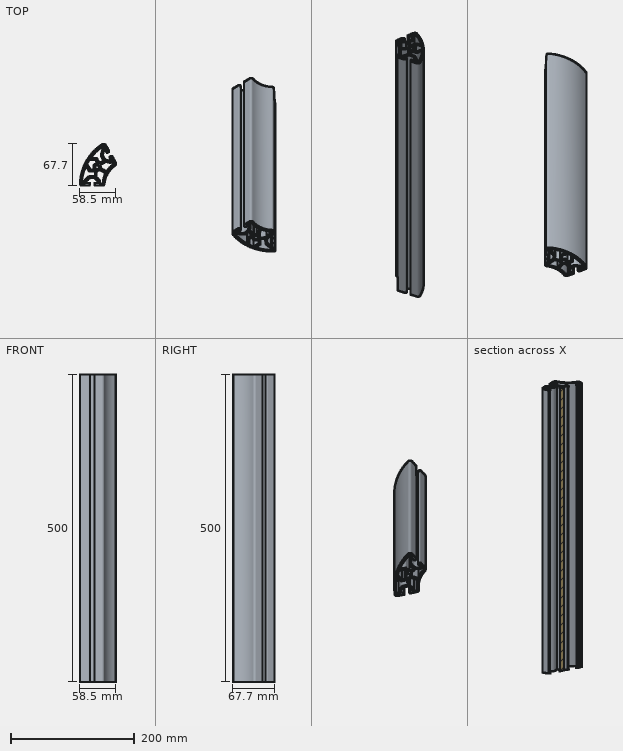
import cadquery as cq
import math

LENGTH = 500.0
INNER_RADIUS = 40.0
OUTER_RADIUS = 80.0
SECTOR_ANGLE = 60.0
CORNER_RADIUS = 4.0
WALL = 3.0
FLANGE = 2.4

SLOT_RADIUS = (INNER_RADIUS + OUTER_RADIUS) / 2
SLOT_OPENING = 7.8
SLOT_LIP = 4.5
SLOT_MOUTH_RADIUS = 1.7
SLOT_DEPTH = 12.5
SLOT_WIDTH = 20.0
SHOULDER_ANGLE = 45.0
SLOT_FLOOR_WIDTH = 8.0
SLOT_FLOOR_RADIUS = 4.2
SLOT_WALL = 2.9

BORE_DIAMETER = 6.7
CORE_DIAMETER = 12.0
WEB = 3.0
SLOT_WEB_OFFSET = 5.9
CHAMBER_WEB_HEIGHT = 24.7
CHAMBER_WEB_BEND = -64.0
CHAMBER_WEB_TURN = 60.0

BISECTOR_ANGLE = 180.0 - SECTOR_ANGLE / 2


def polar(radius, angle):
    """Point at a distance from the ring centre, angle in degrees from +X."""
    a = math.radians(angle)
    return (radius * math.cos(a), radius * math.sin(a))


CORE_CENTER = polar(SLOT_RADIUS, BISECTOR_ANGLE)


def mirrored(shape):
    """The shape's mirror image across the plane through Z and the sector bisector."""
    to_axis = shape.rotate((0, 0, 0), (0, 0, 1), -BISECTOR_ANGLE)
    return to_axis.mirror("XZ").rotate((0, 0, 0), (0, 0, 1), BISECTOR_ANGLE)


def both_halves(shape):
    return shape.union(mirrored(shape))


def ring_sector(inner_radius, outer_radius, inset, corner_radius):
    """Ring sector whose straight faces are moved inward by inset."""
    def edge_angle(radius):
        return math.degrees(math.asin(inset / radius))

    inner_shift = edge_angle(inner_radius)
    outer_shift = edge_angle(outer_radius)
    far_angle = 180.0 - SECTOR_ANGLE
    return (
        cq.Workplane("XY")
        .moveTo(*polar(outer_radius, 180.0 - outer_shift))
        .threePointArc(polar(outer_radius, BISECTOR_ANGLE), polar(outer_radius, far_angle + outer_shift))
        .lineTo(*polar(inner_radius, far_angle + inner_shift))
        .threePointArc(polar(inner_radius, BISECTOR_ANGLE), polar(inner_radius, 180.0 - inner_shift))
        .close()
        .extrude(LENGTH)
        .edges("|Z")
        .fillet(corner_radius)
    )


def web_strip(start, end, thickness):
    """Straight web between two points of the cross-section."""
    length = math.dist(start, end)
    angle = math.degrees(math.atan2(end[1] - start[1], end[0] - start[0]))
    return (
        cq.Workplane("XY")
        .rect(length, thickness)
        .extrude(LENGTH)
        .rotate((0, 0, 0), (0, 0, 1), angle)
        .translate(((start[0] + end[0]) / 2, (start[1] + end[1]) / 2, 0))
    )


def cylinder(center, diameter):
    return cq.Workplane("XY").center(*center).circle(diameter / 2).extrude(LENGTH)


def slot_room(bottom, margin=0.0):
    """Wide part of the T-slot from the given height to its floor, grown sideways and upward by margin."""
    half_width = SLOT_WIDTH / 2 + margin
    top = SLOT_DEPTH + margin
    half_floor = SLOT_FLOOR_WIDTH / 2 + margin * math.tan(math.radians(SHOULDER_ANGLE / 2))
    shoulder_drop = (half_width - half_floor) * math.tan(math.radians(SHOULDER_ANGLE))
    side_top = top - shoulder_drop
    outline = [
        (-half_width, bottom),
        (half_width, bottom),
        (half_width, side_top),
        (half_floor, top),
        (-half_floor, top),
        (-half_width, side_top),
    ]
    room = cq.Workplane("XY").polyline(outline).close().extrude(LENGTH)
    floor_corners = room.faces(">Y").edges("|Z")
    return floor_corners.fillet(SLOT_FLOOR_RADIUS + margin).translate((-SLOT_RADIUS, 0, 0))


def slot_casing():
    """Solid block around the T-slot, including its walls."""
    return slot_room(0, SLOT_WALL)


def slot_cut():
    """T-slot with its opening flaring into the straight face through rounded lips."""
    half_opening = SLOT_OPENING / 2
    half_mouth = half_opening + SLOT_MOUTH_RADIUS
    bend = SLOT_MOUTH_RADIUS * (1 - math.sqrt(0.5))
    opening = (
        cq.Workplane("XY")
        .center(-SLOT_RADIUS, 0)
        .moveTo(-half_mouth, 0)
        .threePointArc((-half_opening - bend, bend), (-half_opening, SLOT_MOUTH_RADIUS))
        .lineTo(-half_opening, SLOT_LIP)
        .lineTo(half_opening, SLOT_LIP)
        .lineTo(half_opening, SLOT_MOUTH_RADIUS)
        .threePointArc((half_opening + bend, bend), (half_mouth, 0))
        .close()
        .extrude(LENGTH)
    )
    return slot_room(SLOT_LIP).union(opening)


def webs():
    slot_web_x = SLOT_WEB_OFFSET - SLOT_RADIUS
    slot_web = web_strip((slot_web_x, SLOT_DEPTH), (slot_web_x, CORE_CENTER[1]), WEB)
    bend = (CHAMBER_WEB_BEND, CHAMBER_WEB_HEIGHT)
    overlong = OUTER_RADIUS - INNER_RADIUS
    reach = polar(overlong, 180.0 - CHAMBER_WEB_TURN)
    chamber_web = web_strip((CORE_CENTER[0], CHAMBER_WEB_HEIGHT), bend, WEB)
    outer_web = web_strip(bend, (bend[0] + reach[0], bend[1] + reach[1]), WEB)
    joint = cylinder(bend, WEB)
    half = slot_web.union(chamber_web).union(outer_web).union(joint)
    bisector_web = web_strip(polar(INNER_RADIUS, BISECTOR_ANGLE), CORE_CENTER, WEB)
    return both_halves(half).union(bisector_web)


envelope = ring_sector(INNER_RADIUS, OUTER_RADIUS, 0, CORNER_RADIUS)
cavity = ring_sector(INNER_RADIUS + WALL, OUTER_RADIUS - WALL, FLANGE, CORNER_RADIUS - WALL)

skeleton = both_halves(slot_casing()).union(webs()).union(cylinder(CORE_CENTER, CORE_DIAMETER))
result = (
    envelope.cut(cavity)
    .union(skeleton.intersect(envelope))
    .cut(both_halves(slot_cut()))
    .cut(cylinder(CORE_CENTER, BORE_DIAMETER))
)